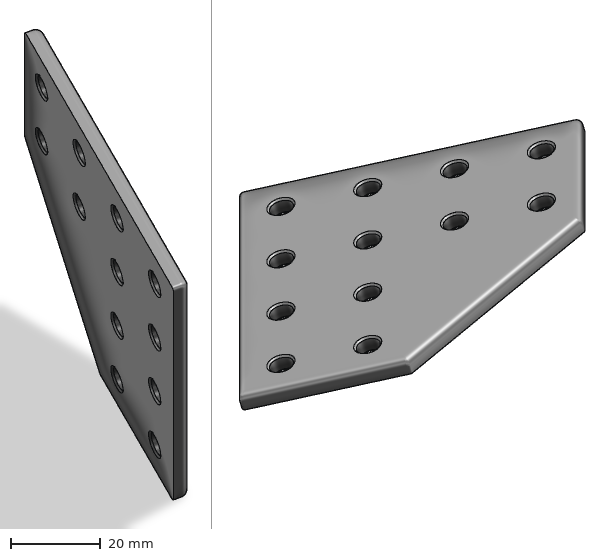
import cadquery as cq

side = 79.0
thickness = 4.0
short_edge = 39.0
back_round = thickness / 2
corner_radius = 1.0

hole_diameter = 5.5
countersink_size = 0.5
hole_pitch = 20.0
hole_margin = 10.0
holes_per_side = 4
band_width = 2

half = side / 2


def make_plate():
    """Square plate with its lower left corner cut off and its edges rounded."""
    plate = (
        cq.Workplane("XZ")
        .moveTo(-half, half)
        .lineTo(half, half)
        .lineTo(half, -half)
        .lineTo(half - short_edge, -half)
        .lineTo(-half, half - short_edge)
        .close()
        .extrude(-thickness)
    )
    plate = plate.faces(">Y").edges().fillet(back_round)
    return plate.edges("|Y").fillet(corner_radius)


def hole_centers():
    """Hole places in the L-shaped band, counted from the top right corner."""
    first = half - hole_margin
    return [
        (first - column * hole_pitch, first - row * hole_pitch)
        for column in range(holes_per_side)
        for row in range(holes_per_side)
        if column < band_width or row < band_width
    ]


def make_hole_cutters():
    """Through holes with 45 degree countersinks at both faces."""
    centers = hole_centers()
    hole_radius = hole_diameter / 2
    mouth_radius = hole_radius + countersink_size
    cutters = (
        cq.Workplane("XZ")
        .pushPoints(centers)
        .circle(hole_radius)
        .extrude(-thickness)
    )
    for x, z in centers:
        for face_y, inward in ((0, 1), (thickness, -1)):
            countersink = cq.Solid.makeCone(
                mouth_radius,
                hole_radius,
                countersink_size,
                pnt=cq.Vector(x, face_y, z),
                dir=cq.Vector(0, inward, 0),
            )
            cutters = cutters.union(cq.Workplane(obj=countersink))
    return cutters


result = make_plate().cut(make_hole_cutters())